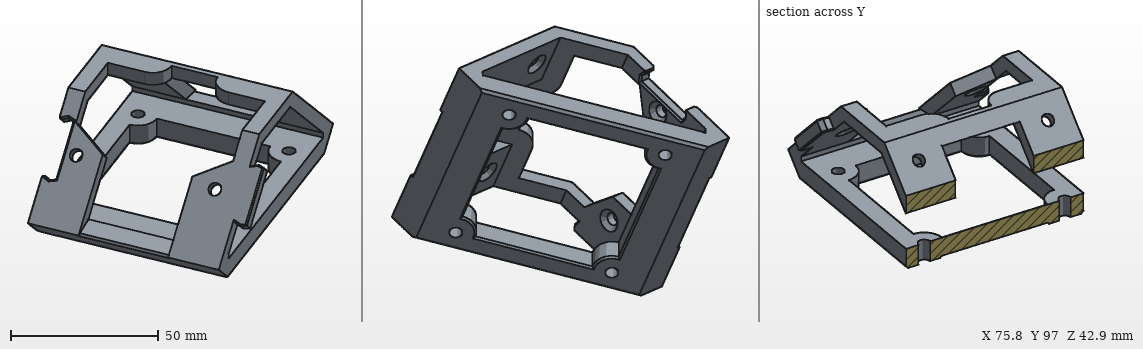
import cadquery as cq
import math

BODY_WIDTH = 70.8
BASE_DEPTH = 97.0
HEIGHT = 42.86
EDGE_HEIGHT = 8.5
FLOOR_THICKNESS = 8.0
WALL = 5.0
SIDE_CHAMFER = 1.0

HOLE_DIAMETER = 4.5
COUNTERSINK_DIAMETER = 8.0

FLOOR_OPENING_HALF = 28.0
FLOOR_OPENING_CHAMFER = 0.7
LOBE_RADIUS = 7.0

TOP_OPENING_HALF = 29.1
TOP_RECESS_BACK = 12.0
LOBE_CENTRE_X = 15.5

SLOPE_HOLE_X = 25.7
FRONT_HOLE_DROP = 22.0
BACK_HOLE_DROP = 9.4
FRONT_WINDOW_HALF = 16.6
FRONT_SHOULDER_TOP = 11.1
FRONT_SHOULDER_BOTTOM = 19.6
BACK_WINDOW_HALF = 15.5

SILL_EDGE_Y = 47.3
SILL_EDGE_Z = 8.75
LIP_DROP = 1.0

TONGUE_DROP = 21.2
TONGUE_LENGTH = 5.0
TONGUE_ROOT_HALF = 9.95
TONGUE_APEX_HALF = 11.0
TONGUE_APEX_X = 2.9
TONGUE_TIP_HALF = 10.3
TONGUE_CHAMFER = 0.5
GROOVE_CLEARANCE = 0.05
GROOVE_CHAMFER = 0.7
GROOVE_MOUTH_FLARE = 0.35

HALF_WIDTH = BODY_WIDTH / 2
HALF_DEPTH = BASE_DEPTH / 2
FLOOR_HALF = HALF_DEPTH - EDGE_HEIGHT
TOP_HALF = HALF_DEPTH - (HEIGHT - EDGE_HEIGHT)
INNER_TOP_Z = HEIGHT - WALL
INNER_TOP_HALF = TOP_HALF + WALL - WALL * math.sqrt(2)
INNER_HALF = FLOOR_HALF
INNER_CORNER_Z = INNER_TOP_Z - (INNER_HALF - INNER_TOP_HALF)
FRONT_SHOULDER_Z = HEIGHT - FRONT_SHOULDER_BOTTOM * math.sqrt(0.5)
OVERCUT = 5.0
FRONT = -1
BACK = 1


def slope_plane(side, inset=0.0):
    """Plane on a sloping wall: origin on the upper edge, +Y up the slope, inset into the wall."""
    plane = cq.Plane(origin=(0, side * TOP_HALF, HEIGHT), xDir=(-side, 0, 0), normal=(0, side, 1))
    return cq.Workplane(plane).workplane(offset=-inset)


def ring_body():
    """Closed six-sided ring along X with its two bottom side edges chamfered."""
    outer = [
        (-FLOOR_HALF, 0),
        (FLOOR_HALF, 0),
        (HALF_DEPTH, EDGE_HEIGHT),
        (TOP_HALF, HEIGHT),
        (-TOP_HALF, HEIGHT),
        (-HALF_DEPTH, EDGE_HEIGHT),
    ]
    inner = [
        (-INNER_HALF, FLOOR_THICKNESS),
        (INNER_HALF, FLOOR_THICKNESS),
        (INNER_HALF, INNER_CORNER_Z),
        (INNER_TOP_HALF, INNER_TOP_Z),
        (-INNER_TOP_HALF, INNER_TOP_Z),
        (-INNER_HALF, INNER_CORNER_Z),
    ]
    section = cq.Workplane("YZ").polyline(outer).close().polyline(inner).close()
    body = section.extrude(HALF_WIDTH, both=True)
    return body.faces("<Z").edges("|Y").chamfer(SIDE_CHAMFER)


def floor_opening():
    """Square opening chamfered at the bottom, with a lobe left around each of four corner holes."""
    side = 2 * FLOOR_OPENING_HALF
    corners = cq.Workplane("XY").rect(side, side, forConstruction=True).vertices()
    lobes = corners.circle(LOBE_RADIUS).extrude(FLOOR_THICKNESS)
    holes = corners.circle(HOLE_DIAMETER / 2).extrude(FLOOR_THICKNESS)
    opening = cq.Workplane("XY").rect(side, side).extrude(FLOOR_THICKNESS).cut(lobes)
    bottom = opening.faces("<Z").wires().toPending().offset2D(FLOOR_OPENING_CHAMFER, "intersection")
    flare = bottom.extrude(FLOOR_OPENING_CHAMFER, taper=45)
    return opening.union(flare).union(holes)


def top_opening():
    """Opening in the top plate, from the front upper edge back to two rounded lobes."""
    recess_half = LOBE_CENTRE_X - LOBE_RADIUS
    bend = LOBE_RADIUS * math.sqrt(0.5)
    lobe_front = TOP_RECESS_BACK - LOBE_RADIUS
    outline = (
        cq.Workplane("XY", origin=(0, 0, INNER_TOP_Z - OVERCUT))
        .moveTo(-TOP_OPENING_HALF, -TOP_HALF)
        .lineTo(TOP_OPENING_HALF, -TOP_HALF)
        .lineTo(TOP_OPENING_HALF, lobe_front)
        .lineTo(LOBE_CENTRE_X, lobe_front)
        .threePointArc((LOBE_CENTRE_X - bend, TOP_RECESS_BACK - bend), (recess_half, TOP_RECESS_BACK))
        .lineTo(-recess_half, TOP_RECESS_BACK)
        .threePointArc((bend - LOBE_CENTRE_X, TOP_RECESS_BACK - bend), (-LOBE_CENTRE_X, lobe_front))
        .lineTo(-TOP_OPENING_HALF, lobe_front)
        .close()
    )
    return outline.extrude(HEIGHT)


def window(side, half_width, top_z):
    """Opening through a sloping wall, level at its upper end and ending on the sill below."""
    top_y = TOP_HALF + HEIGHT - top_z
    lip_z = SILL_EDGE_Z - LIP_DROP
    profile = [
        (top_y, top_z),
        (INNER_TOP_HALF + INNER_TOP_Z - top_z, top_z),
        (INNER_HALF, INNER_CORNER_Z),
        (SILL_EDGE_Y, SILL_EDGE_Z),
        (FLOOR_HALF + lip_z, lip_z),
        (HALF_DEPTH + OVERCUT, EDGE_HEIGHT),
    ]
    points = [(side * y, z) for y, z in profile]
    return cq.Workplane("YZ").polyline(points).close().extrude(half_width, both=True)


def front_shoulders():
    """Upper part of the front opening, narrowing from the top opening to the window."""
    points = [
        (-TOP_OPENING_HALF, 0),
        (TOP_OPENING_HALF, 0),
        (TOP_OPENING_HALF, -FRONT_SHOULDER_TOP),
        (FRONT_WINDOW_HALF, -FRONT_SHOULDER_BOTTOM),
        (-FRONT_WINDOW_HALF, -FRONT_SHOULDER_BOTTOM),
        (-TOP_OPENING_HALF, -FRONT_SHOULDER_TOP),
    ]
    return slope_plane(FRONT, WALL).polyline(points).close().extrude(WALL + OVERCUT)


def slope_holes(side, drop):
    """Two holes square to a sloping wall, countersunk from the inside."""
    places = [(-SLOPE_HOLE_X, -drop), (SLOPE_HOLE_X, -drop)]
    inside = slope_plane(side, WALL).pushPoints(places)
    shafts = inside.circle(HOLE_DIAMETER / 2).extrude(WALL)
    sink_depth = (COUNTERSINK_DIAMETER - HOLE_DIAMETER) / 2
    sinks = inside.circle(COUNTERSINK_DIAMETER / 2).extrude(sink_depth, taper=45)
    return shafts.union(sinks)


def side_outline(half_outline, side_x):
    """Mirror a half outline about the tongue's centre line and place it on a side wall.

    Each half outline point is (X from the side wall, distance along the slope from the centre line).
    """
    outline = half_outline + [(x, -along) for x, along in reversed(half_outline)]
    return [(side_x + x, along - TONGUE_DROP) for x, along in outline]


def tongue():
    """Pointed tongue on the right side, chamfered around both broad faces."""
    half_outline = [
        (-WALL, TONGUE_ROOT_HALF),
        (0, TONGUE_ROOT_HALF),
        (TONGUE_APEX_X, TONGUE_APEX_HALF),
        (TONGUE_LENGTH, TONGUE_TIP_HALF),
    ]
    points = side_outline(half_outline, HALF_WIDTH)
    block = slope_plane(FRONT, WALL).polyline(points).close().extrude(WALL)
    broad_faces = block.faces("<(0,-1,1) or >(0,-1,1)")
    return broad_faces.edges().chamfer(TONGUE_CHAMFER)


def groove():
    """Groove for a neighbour's tongue, flared at its mouth and at both broad faces."""
    mouth_half = TONGUE_ROOT_HALF + GROOVE_CLEARANCE
    half_outline = [
        (-OVERCUT, mouth_half + GROOVE_MOUTH_FLARE),
        (0, mouth_half + GROOVE_MOUTH_FLARE),
        (GROOVE_CHAMFER, mouth_half),
        (TONGUE_APEX_X + GROOVE_CLEARANCE, TONGUE_APEX_HALF + GROOVE_CLEARANCE),
        (TONGUE_LENGTH + GROOVE_CLEARANCE, TONGUE_TIP_HALF + GROOVE_CLEARANCE),
    ]
    points = side_outline(half_outline, -HALF_WIDTH)
    cutter = slope_plane(FRONT, WALL).polyline(points).close().extrude(WALL)
    for inset, direction in ((0, -1), (WALL, 1)):
        flare = slope_plane(FRONT, inset).polyline(points).close()
        flare = flare.offset2D(GROOVE_CHAMFER, "intersection")
        cutter = cutter.union(flare.extrude(direction * GROOVE_CHAMFER, taper=45))
    return cutter


result = (
    ring_body()
    .cut(floor_opening())
    .cut(top_opening())
    .cut(front_shoulders())
    .cut(window(FRONT, FRONT_WINDOW_HALF, FRONT_SHOULDER_Z))
    .cut(window(BACK, BACK_WINDOW_HALF, INNER_TOP_Z))
    .cut(slope_holes(FRONT, FRONT_HOLE_DROP))
    .cut(slope_holes(BACK, BACK_HOLE_DROP))
    .cut(groove())
    .union(tongue())
)